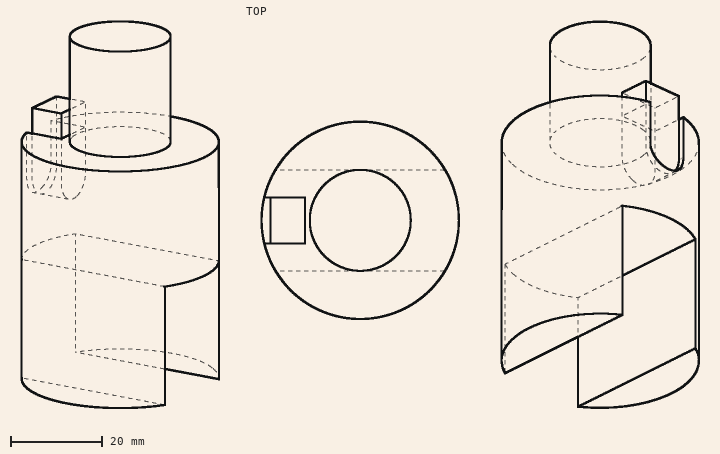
import cadquery as cq

total_height = 78.0
housing_diameter = 43.0
housing_height = 54.0
fork_gap_height = 27.0
shaft_diameter = 22.0
fork_gap_width = shaft_diameter
key_width = 10.0
key_thickness = 7.5
key_rise = 5.8
key_depth = 15.0
key_outer_x = -19.5

housing_radius = housing_diameter / 2
shaft_height = total_height - housing_height
key_inner_x = key_outer_x + key_thickness
key_radius = key_width / 2
key_bottom_z = housing_height - key_depth
key_top_z = housing_height + key_rise


def make_round_bottomed_block(outer_x, inner_x, top_z):
    """Block along X whose lower end is a half circle, with a flat top."""
    arc_center_z = key_bottom_z + key_radius
    return (
        cq.Workplane("YZ", origin=(outer_x, 0, 0))
        .moveTo(-key_radius, top_z)
        .lineTo(-key_radius, arc_center_z)
        .threePointArc((0, key_bottom_z), (key_radius, arc_center_z))
        .lineTo(key_radius, top_z)
        .close()
        .extrude(inner_x - outer_x)
    )


def make_housing():
    """Cylinder with a fork gap through its lower end and a keyway in its side."""
    body = cq.Workplane("XY").circle(housing_radius).extrude(housing_height)
    fork_gap = cq.Workplane("XY").box(
        housing_diameter, fork_gap_width, fork_gap_height, centered=(True, True, False)
    )
    keyway = make_round_bottomed_block(-housing_radius, key_inner_x, housing_height)
    return body.cut(fork_gap).cut(keyway)


def make_shaft():
    """Round shaft standing on the housing's top face."""
    return (
        cq.Workplane("XY", origin=(0, 0, housing_height))
        .circle(shaft_diameter / 2)
        .extrude(shaft_height)
    )


def make_key():
    """Key seated against the keyway floor and standing above the housing."""
    return make_round_bottomed_block(key_outer_x, key_inner_x, key_top_z)


housing = make_housing()
shaft = make_shaft()
key = make_key()

result = cq.Compound.makeCompound([housing.val(), shaft.val(), key.val()])